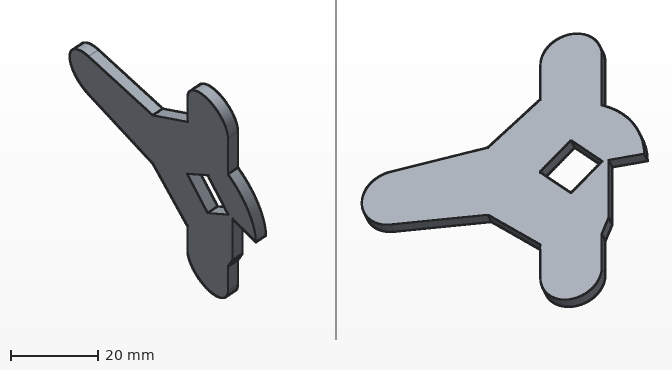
import cadquery as cq
import math

thickness = 3.0
overall_height = 75.0
overall_width = 67.5
arm_radius = 7.35
cam_radius = 17.5
side_arm_radius = 7.5
elbow_x = -19.9
elbow_z = 9.5
shoulder_z = 20.55
flat_x = 9.0
flat_bottom_z = -16.3
hole_half_diagonal = 7.4

arm_tip_z = overall_height / 2
arm_centre_z = arm_tip_z - arm_radius

lobe_start_angle = math.acos(arm_radius / cam_radius)
lobe_start_z = cam_radius * math.sin(lobe_start_angle)
lobe_mid = (
    cam_radius * math.cos(lobe_start_angle / 2),
    cam_radius * math.sin(lobe_start_angle / 2),
)

side_tip_x = cam_radius - overall_width
side_centre_x = side_tip_x + side_arm_radius
elbow_offset_x = elbow_x - side_centre_x
elbow_distance = math.hypot(elbow_offset_x, elbow_z)
tangent_angle = math.atan2(elbow_z, elbow_offset_x) + math.acos(side_arm_radius / elbow_distance)
tangent_x = side_centre_x + side_arm_radius * math.cos(tangent_angle)
tangent_z = side_arm_radius * math.sin(tangent_angle)


def make_plate():
    """Three-armed plate with a lobe on the +X side, centred on Y = 0."""
    return (
        cq.Workplane("XZ")
        .moveTo(flat_x, 0)
        .lineTo(cam_radius, 0)
        .threePointArc(lobe_mid, (arm_radius, lobe_start_z))
        .lineTo(arm_radius, arm_centre_z)
        .threePointArc((0, arm_tip_z), (-arm_radius, arm_centre_z))
        .lineTo(-arm_radius, shoulder_z)
        .lineTo(elbow_x, elbow_z)
        .lineTo(tangent_x, tangent_z)
        .threePointArc((side_tip_x, 0), (tangent_x, -tangent_z))
        .lineTo(elbow_x, -elbow_z)
        .lineTo(-arm_radius, -shoulder_z)
        .lineTo(-arm_radius, -arm_centre_z)
        .threePointArc((0, -arm_tip_z), (arm_radius, -arm_centre_z))
        .lineTo(arm_radius, -shoulder_z)
        .lineTo(flat_x, flat_bottom_z)
        .close()
        .extrude(thickness / 2, both=True)
    )


def make_square_hole():
    """Square through hole standing on its corner."""
    return (
        cq.Workplane("XZ")
        .polygon(4, 2 * hole_half_diagonal)
        .extrude(thickness, both=True)
    )


result = make_plate().cut(make_square_hole())